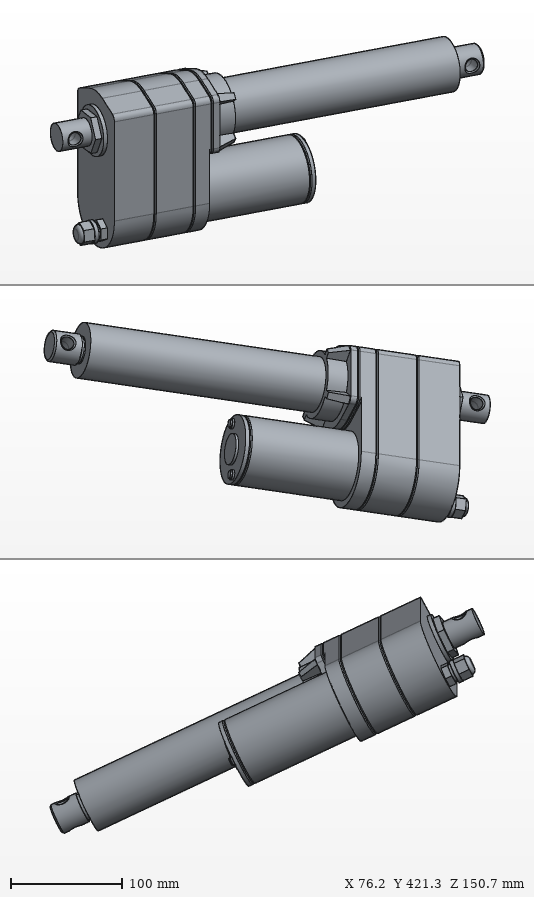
import cadquery as cq
import math


OVERALL_LENGTH = 421.34
HEX_SIDES = 6
POINT_UP = 90

HOUSING_WIDTH = 76.2
HOUSING_HEIGHT = 150.75
HOUSING_LENGTH = 95.25
HALF_WIDTH = HOUSING_WIDTH / 2
MOTOR_Z = HOUSING_WIDTH - HOUSING_HEIGHT
SHOULDER_SLOPE = math.radians(20)
SHOULDER_RADIUS = 6.35

FLANGE_END = 105.4

GROOVE_WIDTH = 2.5
GROOVE_DEPTH = 0.5
HOUSING_GROOVES = (40.6, 80.0)
FLANGE_GROOVE = 97.8
MOTOR_GROOVE = 199.4

BOSS_DIAMETER = 62.0
BOSS_END = 124.5
RIB_ANGLE = 36.0
RIB_REACH_BASE = 43.0
RIB_REACH_END = 36.8
RIB_WIDTH_BASE = 7.75
RIB_WIDTH_END = 6.35

TUBE_DIAMETER = 50.8
TUBE_END = 351.8
LIP_LENGTH = 1.27

NECK_DIAMETER = 25.4
EYE_DIAMETER = 28.6
EYE_START = 355.6
ROD_TIP = 381.94
TIP_CHAMFER = 1.6

PIN_DIAMETER = 12.0
PIN_EDGE_DISTANCE = 12.7
PIN_CHAMFER = 1.5

MOTOR_DIAMETER = 63.5
MOTOR_END = 204.5
MOTOR_HUB_DIAMETER = 28.6
MOTOR_HUB_HEIGHT = 2.5
SCREW_OFFSET = 24.8
SCREW_WASHER_DIAMETER = 9.5
SCREW_WASHER_HEIGHT = 1.9
SCREW_HEAD_DIAMETER = 7.0
SCREW_HEAD_HEIGHT = 3.5

WASHER_DIAMETER = 47.6
WASHER_END = -3.8
NUT_FLATS = 34.925
NUT_END = -10.16
MOUNT_DIAMETER = 26.0
MOUNT_END = ROD_TIP - OVERALL_LENGTH

GLAND_X = 14.0
GLAND_Z = -92.1
GLAND_RADIUS = 10.8
GLAND_BASE_END = -6.35
GLAND_NECK_RADIUS = 8.2
GLAND_NECK_END = -8.9
GLAND_COLLAR_END = -12.7
GLAND_NUT_END = -22.9
GLAND_NUT_TURN = 7.7
GLAND_DOME_RADIUS = 8.9
GLAND_DOME_LENGTH = 3.8
GLAND_DOME_FILLET = 3.7


def section(y):
    """XZ sketch plane at station y, with X right and Z up; extrudes toward -Y."""
    return cq.Workplane("XZ", origin=(0, y, 0))


def rod(diameter, y_start, y_end, x=0, z=0):
    """Round bar along Y between two stations."""
    return section(y_end).center(x, z).circle(diameter / 2).extrude(y_end - y_start)


def hexagon(corner_radius, y_start, y_end, x=0, z=0, turn=0):
    """Hexagonal bar along Y; a corner points to +X before turning."""
    corners = [
        (x + corner_radius * math.cos(math.radians(turn + 360 / HEX_SIDES * i)),
         z + corner_radius * math.sin(math.radians(turn + 360 / HEX_SIDES * i)))
        for i in range(HEX_SIDES)
    ]
    return section(y_end).polyline(corners).close().extrude(y_end - y_start)


def roof_points(inset):
    """Points down the +X half of the roof: crown, crown end, shoulder start, middle and end."""
    half = HALF_WIDTH - inset
    round_r = SHOULDER_RADIUS - inset
    slope_sin = math.sin(SHOULDER_SLOPE)
    slope_cos = math.cos(SHOULDER_SLOPE)
    centre_x = half - round_r
    centre_z = (half - round_r - centre_x * slope_sin) / slope_cos
    middle = (math.pi / 2 - SHOULDER_SLOPE) / 2
    return (
        (0, half),
        (half * slope_sin, half * slope_cos),
        (centre_x + round_r * slope_sin, centre_z + round_r * slope_cos),
        (centre_x + round_r * math.cos(middle), centre_z + round_r * math.sin(middle)),
        (half, centre_z),
    )


def roof_outline(y, inset=0, round_bottom=True):
    """Outline with a crowned roof; its bottom is round about the motor axis or mirrors the roof."""
    crown, crown_end, shoulder, shoulder_mid, side = roof_points(inset)

    def left(point):
        return (-point[0], point[1])

    def low(point):
        return (point[0], -point[1])

    outline = (
        section(y)
        .moveTo(*left(side))
        .threePointArc(left(shoulder_mid), left(shoulder))
        .lineTo(*left(crown_end))
        .threePointArc(crown, crown_end)
        .lineTo(*shoulder)
        .threePointArc(shoulder_mid, side)
    )
    if round_bottom:
        half = side[0]
        outline = (
            outline
            .lineTo(half, MOTOR_Z)
            .threePointArc((0, MOTOR_Z - half), (-half, MOTOR_Z))
        )
    else:
        outline = (
            outline
            .lineTo(*low(side))
            .threePointArc(low(shoulder_mid), low(shoulder))
            .lineTo(*low(crown_end))
            .threePointArc(low(crown), low(left(crown_end)))
            .lineTo(*low(left(shoulder)))
            .threePointArc(low(left(shoulder_mid)), low(left(side)))
        )
    return outline.close()


def roofed_block(y_start, y_end, round_bottom=True):
    """Prism along Y with the crowned outline."""
    return roof_outline(y_end, round_bottom=round_bottom).extrude(y_end - y_start)


def v_core(waist):
    """Waisted core left inside a V groove, flaring both ways from the outline at its middle."""
    half = GROOVE_WIDTH / 2
    flare = -math.degrees(math.atan2(GROOVE_DEPTH, half))
    return waist.extrude(half, taper=flare, both=True)


def groove_ring(y_middle, round_bottom):
    """Shallow V-section band to cut around a roofed block."""
    half = GROOVE_WIDTH / 2
    band = roofed_block(y_middle - half, y_middle + half, round_bottom=round_bottom)
    core = v_core(roof_outline(y_middle, GROOVE_DEPTH, round_bottom))
    return band.cut(core)


def make_gear_housing():
    housing = roofed_block(0, HOUSING_LENGTH)
    for y in HOUSING_GROOVES:
        housing = housing.cut(groove_ring(y, True))
    flange = roofed_block(HOUSING_LENGTH, FLANGE_END, round_bottom=False)
    flange = flange.cut(groove_ring(FLANGE_GROOVE, False))
    return housing.union(flange)


def make_rib(angle):
    """Drafted radial rib that leans in from the flange to the boss end."""
    rib = (
        section(FLANGE_END)
        .center(RIB_REACH_BASE / 2, 0)
        .rect(RIB_REACH_BASE, RIB_WIDTH_BASE)
        .workplane(offset=FLANGE_END - BOSS_END)
        .center((RIB_REACH_END - RIB_REACH_BASE) / 2, 0)
        .rect(RIB_REACH_END, RIB_WIDTH_END)
        .loft(ruled=True)
    )
    return rib.rotate((0, 0, 0), (0, 1, 0), angle)


def make_tube_support():
    support = rod(BOSS_DIAMETER, FLANGE_END, BOSS_END)
    for angle in (RIB_ANGLE, 180 - RIB_ANGLE, 180 + RIB_ANGLE, -RIB_ANGLE):
        support = support.union(make_rib(angle))
    tube = rod(TUBE_DIAMETER, BOSS_END, TUBE_END)
    lip = rod(NECK_DIAMETER, TUBE_END, TUBE_END + LIP_LENGTH)
    return support.union(tube).union(lip)


def make_motor():
    motor = rod(MOTOR_DIAMETER, HOUSING_LENGTH, MOTOR_END, z=MOTOR_Z)
    half = GROOVE_WIDTH / 2
    groove = rod(MOTOR_DIAMETER, MOTOR_GROOVE - half, MOTOR_GROOVE + half, z=MOTOR_Z)
    waist = section(MOTOR_GROOVE).center(0, MOTOR_Z).circle(MOTOR_DIAMETER / 2 - GROOVE_DEPTH)
    groove = groove.cut(v_core(waist))
    motor = motor.cut(groove)
    motor = motor.union(rod(MOTOR_HUB_DIAMETER, MOTOR_END, MOTOR_END + MOTOR_HUB_HEIGHT, z=MOTOR_Z))
    for side in (-1, 1):
        z = MOTOR_Z + side * SCREW_OFFSET
        motor = motor.union(rod(SCREW_WASHER_DIAMETER, MOTOR_END, MOTOR_END + SCREW_WASHER_HEIGHT, z=z))
        motor = motor.union(rod(SCREW_HEAD_DIAMETER, MOTOR_END, MOTOR_END + SCREW_HEAD_HEIGHT, z=z))
    return motor


def drill_pin_hole(bar, y):
    """Cross hole along X with broken edges."""
    radius = PIN_DIAMETER / 2
    drill = cq.Workplane("YZ", origin=(0, y, 0)).circle(radius).extrude(HALF_WIDTH, both=True)
    rims = cq.selectors.BoxSelector(
        (-HALF_WIDTH, y - radius, -radius),
        (HALF_WIDTH, y + radius, radius),
    )
    return bar.cut(drill).edges(rims).edges("not %LINE").chamfer(PIN_CHAMFER)


def make_rear_mount():
    mount = rod(MOUNT_DIAMETER, MOUNT_END, 0)
    mount = drill_pin_hole(mount, MOUNT_END + PIN_EDGE_DISTANCE)
    mount = mount.union(rod(WASHER_DIAMETER, WASHER_END, 0))
    return mount.union(hexagon(NUT_FLATS / math.sqrt(3), NUT_END, WASHER_END))


def make_cable_gland():
    place = {"x": GLAND_X, "z": GLAND_Z}
    gland = hexagon(GLAND_RADIUS, GLAND_BASE_END, 0, turn=POINT_UP, **place)
    gland = gland.union(rod(2 * GLAND_NECK_RADIUS, GLAND_NECK_END, GLAND_BASE_END, **place))
    gland = gland.union(rod(2 * GLAND_RADIUS, GLAND_COLLAR_END, GLAND_NECK_END, **place))
    gland = gland.union(
        hexagon(GLAND_RADIUS, GLAND_NUT_END, GLAND_COLLAR_END, turn=POINT_UP + GLAND_NUT_TURN, **place)
    )
    dome = rod(2 * GLAND_DOME_RADIUS, GLAND_NUT_END - GLAND_DOME_LENGTH, GLAND_NUT_END, **place)
    dome = dome.faces("<Y").edges().fillet(GLAND_DOME_FILLET)
    return gland.union(dome)


def make_actuator_housing():
    return (
        make_gear_housing()
        .union(make_tube_support())
        .union(make_motor())
        .union(make_rear_mount())
        .union(make_cable_gland())
    )


def make_rod_end():
    eye = rod(EYE_DIAMETER, EYE_START, ROD_TIP).faces(">Y").chamfer(TIP_CHAMFER)
    eye = drill_pin_hole(eye, ROD_TIP - PIN_EDGE_DISTANCE)
    return eye.union(rod(NECK_DIAMETER, TUBE_END + LIP_LENGTH, EYE_START))


actuator_housing = make_actuator_housing()
rod_end = make_rod_end()

result = cq.Compound.makeCompound([actuator_housing.val(), rod_end.val()])